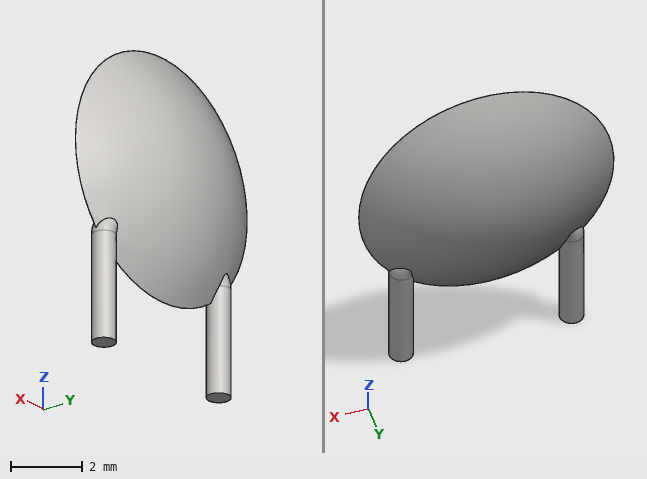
import cadquery as cq
import math

total_height = 9.59
body_diameter = 7.5
body_thickness = 2.5
body_radius = body_diameter / 2
half_thickness = body_thickness / 2
body_center_z = total_height - body_radius

lead_diameter = 0.7
lead_spacing = 5.01
lead_straight_length = 3.29
bend_radius = 0.5
bend_angle = 45.0
tail_length = 0.5


def make_body():
    """Revolve a double-convex half profile about the Y axis."""
    face_radius = (body_radius**2 + half_thickness**2) / (2 * half_thickness)
    middle_x = body_radius / 2
    middle_y = math.sqrt(face_radius**2 - middle_x**2) - (face_radius - half_thickness)
    profile = (
        cq.Workplane("XY")
        .moveTo(0, -half_thickness)
        .threePointArc((middle_x, -middle_y), (body_radius, 0))
        .threePointArc((middle_x, middle_y), (0, half_thickness))
        .close()
    )
    lens = profile.revolve(360, (0, 0, 0), (0, 1, 0))
    return lens.translate((0, 0, body_center_z))


def make_lead(side):
    """Sweep a round wire up from its foot, around the bend and into the body."""
    foot_x = side * lead_spacing / 2

    def bend_point(angle):
        sideways = bend_radius * (1 - math.cos(angle))
        return foot_x - side * sideways, lead_straight_length + bend_radius * math.sin(angle)

    bend = math.radians(bend_angle)
    bend_end_x, bend_end_z = bend_point(bend)
    tail_end = (
        bend_end_x - side * tail_length * math.sin(bend),
        bend_end_z + tail_length * math.cos(bend),
    )
    path = (
        cq.Workplane("XZ")
        .moveTo(foot_x, 0)
        .lineTo(foot_x, lead_straight_length)
        .threePointArc(bend_point(bend / 2), (bend_end_x, bend_end_z))
        .lineTo(*tail_end)
    )
    return cq.Workplane("XY").center(foot_x, 0).circle(lead_diameter / 2).sweep(path)


result = make_body()
for lead_side in (-1, 1):
    result = result.union(make_lead(lead_side))